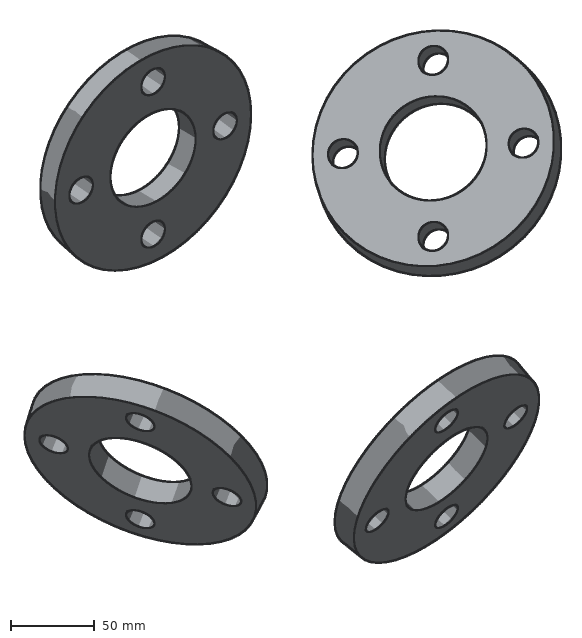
import cadquery as cq
import math

thickness = 16.0
outer_diameter = 150.0
rim_taper_angle = 5.0
bore_diameter = 65.0
bolt_hole_diameter = 18.0
bolt_circle_diameter = 110.0
bolt_hole_count = 4

large_radius = outer_diameter / 2
small_radius = large_radius - thickness * math.tan(math.radians(rim_taper_angle))
bore_radius = bore_diameter / 2


def tapered_ring():
    """Ring with a conical rim and a straight bore, revolved about the X axis."""
    section = (
        cq.Workplane("XY")
        .moveTo(0, bore_radius)
        .lineTo(0, small_radius)
        .lineTo(thickness, large_radius)
        .lineTo(thickness, bore_radius)
        .close()
    )
    return section.revolve(360, (0, 0, 0), (1, 0, 0))


def bolt_holes():
    """Cylinders for the through holes, evenly spaced on the bolt circle."""
    return (
        cq.Workplane("YZ")
        .polarArray(bolt_circle_diameter / 2, 0, 360, bolt_hole_count)
        .circle(bolt_hole_diameter / 2)
        .extrude(thickness)
    )


result = tapered_ring().cut(bolt_holes())